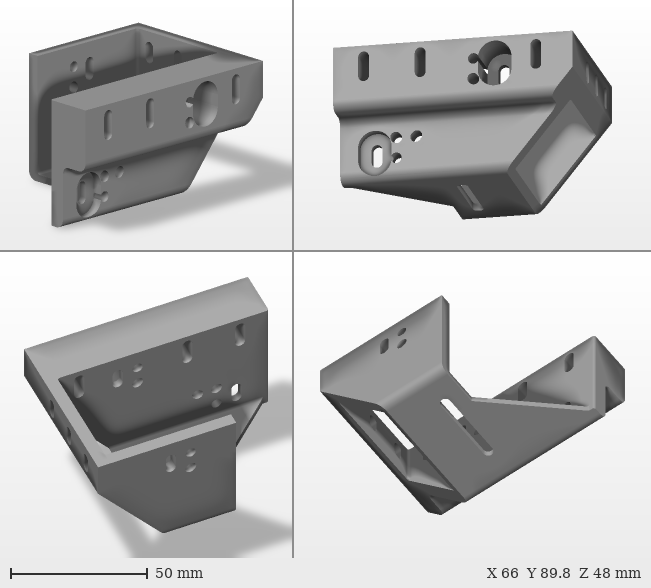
import cadquery as cq

width = 66.0
depth = 89.75
height = 48.0

left_wall = 4.7
back_wall = 4.9
floor = 2.7
right_wall_inner = 47.3
right_wall_outer = 54.0
block_height = 24.05
overcut = 0.9

outer_radius = 3.6
step_radius = 3.0
inner_radius = 1.0

back_edge_height = 13.9
slope_run = 27.8
left_wall_length = 55.4
floor_front_width = 18.3
floor_tip = 87.2

hole_diameter = 4.0
slot_width = 4.0
small_slot_length = 8.7
tilted_hole_length = 4.6
tilt = 45
recess_width = 12.6
recess_web = 3.0
mount_slot_length = 11.4
upper_row = 8.0
hole_pitch = 7.8
slot_offset = 8.0
slot_drop = 2.3
mount_slot_first = 13.7
mount_slot_second = 57.1
mount_slot_pitch = 21.2
upper_group = 37.2
lower_group = 68.75
lower_row = 40.0
extra_hole = 61.2
back_slot_length = 8.2
back_slot_pitch = 15.1
floor_slot_length = 30.1
floor_slot_center = 26.5
floor_slot_distance = 47.1

bay_center = (left_wall + right_wall_inner) / 2


def nearest_edge(point):
    """Selector for the edge whose center is closest to a point."""
    return cq.selectors.NearestToPointSelector(point)


def make_body():
    """Channel profile with the stepped mounting block, extruded front to back."""
    body = (
        cq.Workplane("XZ")
        .polyline([
            (0, 0),
            (width, 0),
            (width, -block_height),
            (right_wall_outer, -block_height),
            (right_wall_outer, -height),
            (0, -height),
        ])
        .close()
        .extrude(depth)
    )
    step_corner = nearest_edge((right_wall_outer, -depth / 2, -block_height))
    body = body.edges(step_corner).fillet(step_radius)
    for x, z in ((0, -height), (right_wall_outer, -height), (width, -block_height)):
        edge = nearest_edge((x, -depth / 2, z))
        body = body.edges(edge).fillet(outer_radius)
    return body


def make_bay():
    """Open bay between the walls, with rounded lower and back corners."""
    bay_depth = depth - back_wall + overcut
    bay_height = height - floor + overcut
    bay = cq.Workplane("XY").box(
        right_wall_inner - left_wall, bay_depth, bay_height, centered=False
    ).translate((left_wall, -depth - overcut, floor - height))
    return bay.edges("|Z and >Y").fillet(inner_radius).edges("|Y and <Z").fillet(inner_radius)


def make_front_cut():
    """Space in front of the left wall and of the angled floor edge."""
    cut = (
        cq.Workplane("XY")
        .workplane(offset=-height - overcut)
        .polyline([
            (-overcut, -left_wall_length),
            (floor_front_width, -left_wall_length),
            (right_wall_inner, -floor_tip),
            (right_wall_inner, -depth - overcut),
            (-overcut, -depth - overcut),
        ])
        .close()
        .extrude(height + 2 * overcut)
    )
    tip = nearest_edge((right_wall_inner, -floor_tip, -height / 2))
    return cut.edges(tip).fillet(inner_radius)


def make_back_cut():
    """Sloped cut below the back wall, across the full width."""
    return (
        cq.Workplane("YZ")
        .polyline([(0, -back_edge_height), (-slope_run, -height), (0, -height)])
        .close()
        .extrude(width)
    )


def make_opening():
    """Square-ended opening between the back wall and the floor."""
    slope = (height - back_edge_height) / slope_run
    wall_bottom = back_edge_height + back_wall * slope
    floor_start = (height - floor - back_edge_height) / slope
    return cq.Workplane("XY").box(
        right_wall_inner - left_wall, floor_start - back_wall, height - wall_bottom, centered=False
    ).translate((left_wall, -floor_start, -height))


def holes_along_x(places):
    """Round holes through both walls; each place is (distance from back, depth from top)."""
    points = [(-distance, -drop) for distance, drop in places]
    return cq.Workplane("YZ").pushPoints(points).circle(hole_diameter / 2).extrude(width)


def slots_along_x(places, length, breadth, start, angle=90):
    """Slots along X from start to the right side; places as for the round holes."""
    points = [(-distance, -drop) for distance, drop in places]
    return (
        cq.Workplane("YZ").workplane(offset=start).pushPoints(points)
        .slot2D(length, breadth, angle).extrude(width - start)
    )


body = make_body().cut(make_bay()).cut(make_front_cut())
front_edge = nearest_edge((right_wall_inner, -depth, -height / 2))
body = body.edges(front_edge).fillet(inner_radius)
body = body.cut(make_back_cut()).cut(make_opening())

tilted_row = lower_row - hole_pitch
body = body.cut(holes_along_x([(upper_group, upper_row), (lower_group, lower_row)]))
tilted_pair = [(upper_group, upper_row + hole_pitch), (lower_group, tilted_row)]
body = body.cut(slots_along_x(tilted_pair, tilted_hole_length, slot_width, 0, -tilt))
small_slots = [
    (upper_group - slot_offset, upper_row + slot_drop),
    (lower_group + slot_offset, lower_row - slot_drop),
]
body = body.cut(slots_along_x(small_slots, small_slot_length, slot_width, 0))

body = body.cut(slots_along_x([(extra_hole, tilted_row)], tilted_hole_length, slot_width, 0, tilt))

recess_length = small_slot_length - slot_width + recess_width
body = body.cut(slots_along_x(small_slots, recess_length, recess_width, right_wall_inner + recess_web))

mount_slots = [
    (distance, upper_row)
    for distance in (mount_slot_first, mount_slot_second, mount_slot_second + mount_slot_pitch)
]
body = body.cut(slots_along_x(mount_slots, mount_slot_length, slot_width, bay_center))

back_slots = (
    cq.Workplane("XZ")
    .pushPoints([(bay_center + step * back_slot_pitch, -upper_row) for step in (-1, 0, 1)])
    .slot2D(back_slot_length, slot_width, 90)
    .extrude(2 * back_wall)
)
body = body.cut(back_slots)

floor_slot = (
    cq.Workplane("XY")
    .workplane(offset=-height)
    .center(floor_slot_center, -floor_slot_distance)
    .slot2D(floor_slot_length, slot_width)
    .extrude(2 * floor)
)
result = body.cut(floor_slot)